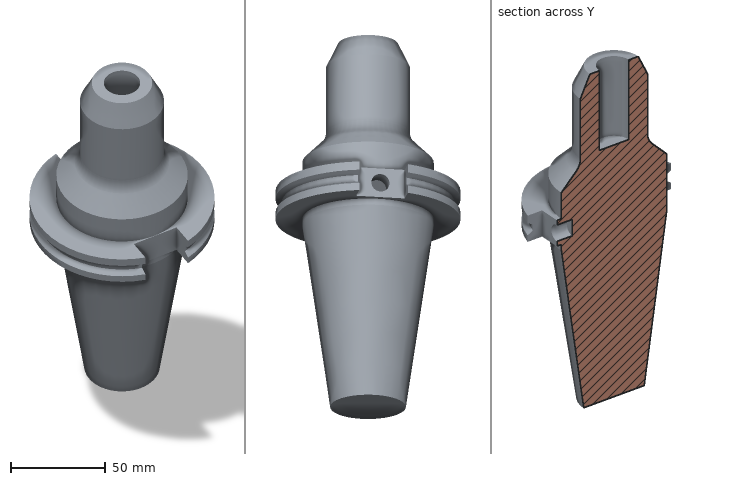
import cadquery as cq
import math

total_height = 203.2
gauge_height = 101.5
flange_bottom = 105.0
flange_top = 121.1

body_radius = 35.0
taper_ratio = 7 / 24
taper_end_radius = body_radius - gauge_height * taper_ratio / 2

shoulder_bottom = 137.0
nose_radius = 22.4
nose_fillet = 9.5
tip_radius = 16.0
tip_cone_height = 13.0

flange_radius = 49.2
groove_floor_radius = 46.0
groove_height = 112.8
groove_floor_width = 3.7
groove_wall_angle = 30.0

slot_width = 26.2
slot_floor_minus_x = 37.8
slot_floor_plus_x = 35.2

bore_diameter = 19.3
bore_depth = 48.8
side_hole_diameter = 9.8
side_hole_depth = 10.2

flange_height = flange_top - flange_bottom
flange_middle = (flange_top + flange_bottom) / 2
groove_half_floor = groove_floor_width / 2
groove_wall_rise = (flange_radius - groove_floor_radius) * math.tan(math.radians(groove_wall_angle))
groove_half_mouth = groove_half_floor + groove_wall_rise


def fillet_point(angle):
    """Offset from the nose tangent point after turning by the given angle."""
    turn = math.radians(angle)
    return nose_fillet * (1 - math.cos(turn)), -nose_fillet * math.sin(turn)


def make_turned_body():
    """Revolve the complete half profile about the Z axis."""
    middle_offset = fillet_point(22.5)
    end_offset = fillet_point(45)
    fillet_end_radius = nose_radius + end_offset[0]
    fillet_end_height = shoulder_bottom + body_radius - fillet_end_radius
    fillet_top = fillet_end_height - end_offset[1]
    profile = (
        cq.Workplane("XZ")
        .lineTo(taper_end_radius, 0)
        .lineTo(body_radius, gauge_height)
        .lineTo(body_radius, flange_bottom)
        .lineTo(flange_radius, flange_bottom)
        .lineTo(flange_radius, groove_height - groove_half_mouth)
        .lineTo(groove_floor_radius, groove_height - groove_half_floor)
        .lineTo(groove_floor_radius, groove_height + groove_half_floor)
        .lineTo(flange_radius, groove_height + groove_half_mouth)
        .lineTo(flange_radius, flange_top)
        .lineTo(body_radius, flange_top)
        .lineTo(body_radius, shoulder_bottom)
        .lineTo(fillet_end_radius, fillet_end_height)
        .threePointArc(
            (nose_radius + middle_offset[0], fillet_top + middle_offset[1]),
            (nose_radius, fillet_top),
        )
        .lineTo(nose_radius, total_height - tip_cone_height)
        .lineTo(tip_radius, total_height)
        .lineTo(0, total_height)
        .close()
    )
    return profile.revolve(360, (0, 0, 0), (0, 1, 0))


def make_drive_slot(floor_distance, side):
    """Cutter for one drive slot; side is -1 for -X and +1 for +X."""
    center_x = side * (floor_distance + flange_radius / 2)
    return (
        cq.Workplane("XY")
        .box(flange_radius, slot_width, flange_height)
        .translate((center_x, 0, flange_middle))
    )


def make_bore():
    """Tool bore in the nose."""
    return (
        cq.Workplane("XY", origin=(0, 0, total_height - bore_depth))
        .circle(bore_diameter / 2)
        .extrude(bore_depth)
    )


def make_side_hole():
    """Radial hole in the floor of the -X drive slot."""
    return (
        cq.Workplane("YZ", origin=(-slot_floor_minus_x, 0, flange_middle))
        .circle(side_hole_diameter / 2)
        .extrude(side_hole_depth)
    )


result = (
    make_turned_body()
    .cut(make_drive_slot(slot_floor_minus_x, -1))
    .cut(make_drive_slot(slot_floor_plus_x, 1))
    .cut(make_bore())
    .cut(make_side_hole())
)